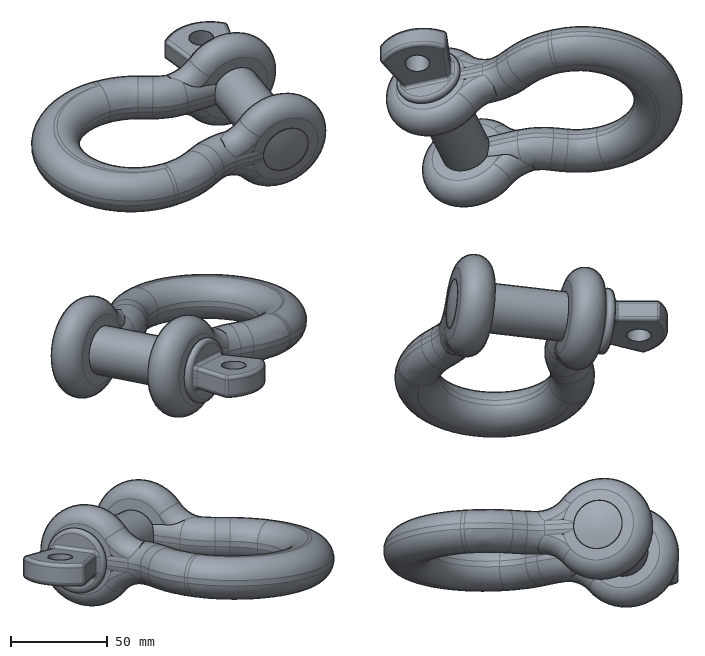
import cadquery as cq
import math


BOW_INNER_RADIUS = 28.6
BOW_OUTER_RADIUS = 51.4
CROWN_THICKENING = 1.9
BAR_HALF_HEIGHT = 11.1
BAND_HALF_HEIGHT = 1.5
BAR_CENTRE_X = (BOW_INNER_RADIUS + BOW_OUTER_RADIUS) / 2
BOW_BAR_HALF_WIDTH = (BOW_OUTER_RADIUS - BOW_INNER_RADIUS) / 2

LEG_CENTRE_X = 28.6
LEG_HALF_WIDTH = 10.4
LEG_TILT = math.radians(27)
LOWER_BEND_RADIUS = 43.0
UPPER_BEND_RADIUS = 29.6

PIN_AXIS_Y = 68.1
PIN_RADIUS = 12.9
EYE_CENTRE_X = 29.5
EYE_RADIUS = 26.7
EYE_RIM_EDGE_RADIUS = 18.8
EYE_RIM_HALF_WIDTH = 9.0
EYE_BORE_HALF_WIDTH = 9.5
NECK_BLEND_RADIUS = 16.0

COLLAR_RADIUS = 17.2
COLLAR_OUTER_X = -44.3
COLLAR_THICKNESS = 4.6
COLLAR_RIM_RADIUS = COLLAR_THICKNESS / 2
COLLAR_FACE_RADIUS = COLLAR_RADIUS - COLLAR_RIM_RADIUS
PIN_END_X = 39.1
PIN_DOME_HEIGHT = 1.6
LUG_TIP_X = -74.8
LUG_CORNER_X = -67.0
LUG_CORNER_HALF_WIDTH = 18.0
LUG_BASE_X = -46.2
LUG_BASE_HALF_WIDTH = 13.3
LUG_THICKNESS = 12.0
LUG_ROUND = 1.9
ROOT_FILLET = 1.8
LUG_HOLE_X = -60.3
LUG_HOLE_RADIUS = 6.4


def bar_section(centre_x, y, half_width):
    """Full closed section of the bar in the plane at the given Y: two arcs joined by the parting band."""
    return (
        cq.Workplane("XZ", origin=(centre_x, y, 0))
        .moveTo(-half_width, BAND_HALF_HEIGHT)
        .threePointArc((0, BAR_HALF_HEIGHT), (half_width, BAND_HALF_HEIGHT))
        .lineTo(half_width, -BAND_HALF_HEIGHT)
        .threePointArc((0, -BAR_HALF_HEIGHT), (-half_width, -BAND_HALF_HEIGHT))
        .close()
    )


def bow():
    """Half ring below Y = 0: inner and outer halves of the bar with a flat crescent between them."""
    ring = bar_section(BAR_CENTRE_X, 0, BOW_BAR_HALF_WIDTH).revolve(
        180, (-BAR_CENTRE_X, 0, 0), (-BAR_CENTRE_X, -1, 0)
    )
    core = cq.Workplane("XY").circle(BAR_CENTRE_X).extrude(BAR_HALF_HEIGHT, both=True)
    inner_half = ring.intersect(core)
    outer_half = ring.cut(core).translate((0, -CROWN_THICKENING, 0))
    ends = bar_section(BAR_CENTRE_X, 0, BOW_BAR_HALF_WIDTH).extrude(CROWN_THICKENING)
    ends = ends.union(ends.mirror("YZ")).cut(core)
    crescent = (
        cq.Workplane("XY")
        .moveTo(-BAR_CENTRE_X, 0)
        .threePointArc((0, -BAR_CENTRE_X), (BAR_CENTRE_X, 0))
        .lineTo(BAR_CENTRE_X, -CROWN_THICKENING)
        .threePointArc((0, -BAR_CENTRE_X - CROWN_THICKENING), (-BAR_CENTRE_X, -CROWN_THICKENING))
        .close()
        .extrude(BAR_HALF_HEIGHT, both=True)
    )
    return inner_half.union(crescent).union(outer_half).union(ends)


def leg():
    """Right-hand leg: an S-bend that narrows upwards, then a straight run up to the pin axis."""
    def lower_bend(angle):
        return (
            BAR_CENTRE_X - LOWER_BEND_RADIUS * (1 - math.cos(angle)),
            LOWER_BEND_RADIUS * math.sin(angle),
        )

    bends_sideways = (LOWER_BEND_RADIUS + UPPER_BEND_RADIUS) * (1 - math.cos(LEG_TILT))
    slope_length = (BAR_CENTRE_X - LEG_CENTRE_X - bends_sideways) / math.sin(LEG_TILT)
    leg_top_y = (
        (LOWER_BEND_RADIUS + UPPER_BEND_RADIUS) * math.sin(LEG_TILT)
        + slope_length * math.cos(LEG_TILT)
    )

    def upper_bend(angle):
        return (
            LEG_CENTRE_X + UPPER_BEND_RADIUS * (1 - math.cos(angle)),
            leg_top_y - UPPER_BEND_RADIUS * math.sin(angle),
        )

    path = (
        cq.Workplane("XY")
        .moveTo(BAR_CENTRE_X, 0)
        .threePointArc(lower_bend(LEG_TILT / 2), lower_bend(LEG_TILT))
        .lineTo(*upper_bend(LEG_TILT))
        .threePointArc(upper_bend(LEG_TILT / 2), (LEG_CENTRE_X, leg_top_y))
        .wire()
    )
    sections = [
        bar_section(BAR_CENTRE_X, 0, BOW_BAR_HALF_WIDTH),
        bar_section(LEG_CENTRE_X, leg_top_y, LEG_HALF_WIDTH),
    ]
    s_bend = cq.Workplane(cq.Solid.sweep_multi([section.val() for section in sections], path.val()))
    straight = bar_section(LEG_CENTRE_X, leg_top_y, LEG_HALF_WIDTH).extrude(leg_top_y - PIN_AXIS_Y)
    return s_bend.union(straight)


def eye():
    """Right-hand eye: a disc with slightly conical faces and a rounded rim, centred on the pin axis."""
    return (
        cq.Workplane("XY", origin=(EYE_CENTRE_X, PIN_AXIS_Y, 0))
        .moveTo(-EYE_BORE_HALF_WIDTH, 0)
        .lineTo(-EYE_BORE_HALF_WIDTH, PIN_RADIUS)
        .lineTo(-EYE_RIM_HALF_WIDTH, EYE_RIM_EDGE_RADIUS)
        .threePointArc((0, EYE_RADIUS), (EYE_RIM_HALF_WIDTH, EYE_RIM_EDGE_RADIUS))
        .lineTo(EYE_BORE_HALF_WIDTH, PIN_RADIUS)
        .lineTo(EYE_BORE_HALF_WIDTH, 0)
        .close()
        .revolve(360, (0, 0, 0), (1, 0, 0))
    )


def neck():
    """Concave blend above the leg: the rim profile turned about an axis above the bar, tangent to both."""
    blend_z = BAR_HALF_HEIGHT + NECK_BLEND_RADIUS
    centre_distance = EYE_RADIUS + NECK_BLEND_RADIUS
    blend_y = PIN_AXIS_Y - math.sqrt(centre_distance**2 - blend_z**2)
    blend_angle = math.degrees(math.acos(blend_z / centre_distance))
    rim_depth = EYE_RADIUS - EYE_RIM_EDGE_RADIUS
    return (
        cq.Workplane("XZ", origin=(EYE_CENTRE_X, blend_y, blend_z))
        .moveTo(-EYE_RIM_HALF_WIDTH, -blend_z)
        .lineTo(-EYE_RIM_HALF_WIDTH, -NECK_BLEND_RADIUS - rim_depth)
        .threePointArc((0, -NECK_BLEND_RADIUS), (EYE_RIM_HALF_WIDTH, -NECK_BLEND_RADIUS - rim_depth))
        .lineTo(EYE_RIM_HALF_WIDTH, -blend_z)
        .close()
        .revolve(blend_angle, (0, 0, 0), (1, 0, 0))
    )


def make_shackle():
    upper_neck = neck()
    side = leg().union(eye()).union(upper_neck).union(upper_neck.mirror("XY"))
    shackle = bow().union(side).union(side.mirror("YZ"))
    bore = (
        cq.Workplane("YZ", origin=(0, PIN_AXIS_Y, 0))
        .circle(PIN_RADIUS)
        .extrude(BOW_OUTER_RADIUS, both=True)
    )
    return shackle.cut(bore)


def lug():
    """Flat grip with a bowed tip and rounded edges, drilled through."""
    outline = (
        cq.Workplane("XY", origin=(0, PIN_AXIS_Y, -LUG_THICKNESS / 2))
        .moveTo(COLLAR_OUTER_X, -LUG_BASE_HALF_WIDTH)
        .lineTo(LUG_BASE_X, -LUG_BASE_HALF_WIDTH)
        .lineTo(LUG_CORNER_X, -LUG_CORNER_HALF_WIDTH)
        .threePointArc((LUG_TIP_X, 0), (LUG_CORNER_X, LUG_CORNER_HALF_WIDTH))
        .lineTo(LUG_BASE_X, LUG_BASE_HALF_WIDTH)
        .lineTo(COLLAR_OUTER_X, LUG_BASE_HALF_WIDTH)
        .close()
        .extrude(LUG_THICKNESS)
    )
    outline = outline.edges("|Z").edges("<X").fillet(LUG_ROUND)
    rounded = outline.faces("|Z").edges("not(>X)").fillet(LUG_ROUND)
    hole = (
        cq.Workplane("XY", origin=(LUG_HOLE_X, PIN_AXIS_Y, 0))
        .circle(LUG_HOLE_RADIUS)
        .extrude(LUG_THICKNESS, both=True)
    )
    return rounded.cut(hole)


def shank():
    """Collar with a fully rounded rim and cylindrical shank with a domed end, turned about the pin axis."""
    collar_inner_x = COLLAR_OUTER_X + COLLAR_THICKNESS
    dome_radius = (PIN_RADIUS**2 + PIN_DOME_HEIGHT**2) / (2 * PIN_DOME_HEIGHT)
    half_chord = PIN_RADIUS / 2
    dome_rise = math.sqrt(dome_radius**2 - half_chord**2) - (dome_radius - PIN_DOME_HEIGHT)
    return (
        cq.Workplane("XY", origin=(0, PIN_AXIS_Y, 0))
        .moveTo(COLLAR_OUTER_X, 0)
        .lineTo(COLLAR_OUTER_X, COLLAR_FACE_RADIUS)
        .threePointArc(
            (COLLAR_OUTER_X + COLLAR_RIM_RADIUS, COLLAR_RADIUS), (collar_inner_x, COLLAR_FACE_RADIUS)
        )
        .lineTo(collar_inner_x, PIN_RADIUS)
        .lineTo(PIN_END_X, PIN_RADIUS)
        .threePointArc((PIN_END_X + dome_rise, half_chord), (PIN_END_X + PIN_DOME_HEIGHT, 0))
        .close()
        .revolve(360, (0, 0, 0), (1, 0, 0))
    )


def make_pin():
    """Shank and lug in one piece, with a fillet where the lug meets the collar face."""
    pin = shank().union(lug())
    root = cq.selectors.BoxSelector(
        (COLLAR_OUTER_X - ROOT_FILLET, PIN_AXIS_Y - COLLAR_FACE_RADIUS, -LUG_THICKNESS),
        (COLLAR_OUTER_X + ROOT_FILLET, PIN_AXIS_Y + COLLAR_FACE_RADIUS, LUG_THICKNESS),
        boundingbox=True,
    )
    return pin.edges(root).fillet(ROOT_FILLET)


shackle = make_shackle()
pin = make_pin()
result = cq.Compound.makeCompound([shackle.val(), pin.val()])